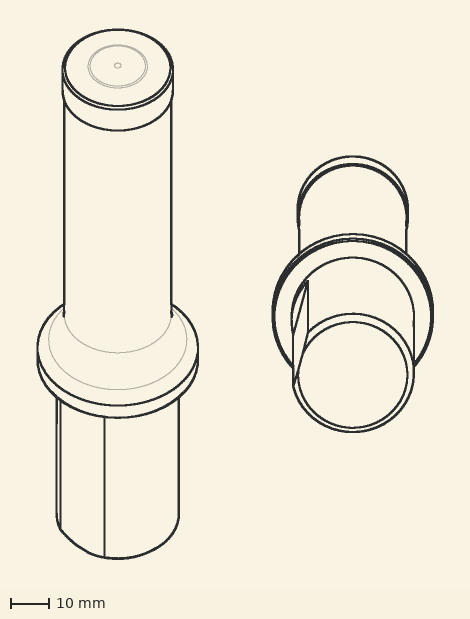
import cadquery as cq
import math

total_length = 172.0

shank_radius = 32.0 / 2
shank_chamfer_width = 1.7
shank_chamfer_height = 2.0
flat_distance = 14.1
flat_top = 55.4

collar_radius = 42.0 / 2
collar_bottom = 60.0
collar_chamfer = 0.5
collar_top = 65.2
flare_radius = 13.8
flare_angle = math.radians(45)

shaft_radius = 28.0 / 2

head_radius = 28.9 / 2
head_bottom = 162.5
head_chamfer = 0.7
head_edge_top = 171.1
apex_radius = 0.9
boss_top_radius = 7.2
boss_bottom_radius = 7.7
boss_top = 171.8
boss_bottom = 171.7


def flare_point(angle):
    """Point of the flare after turning by angle from the vertical shaft wall."""
    radius = shaft_radius + flare_radius * (1 - math.cos(angle))
    height = flare_top - flare_radius * math.sin(angle)
    return radius, height


cone_top_radius = shaft_radius + flare_radius * (1 - math.cos(flare_angle))
cone_top = collar_top + collar_radius - cone_top_radius
flare_top = cone_top + flare_radius * math.sin(flare_angle)


def make_holder():
    """Shank, collar, flare and shaft turned as one body, with the flat cut."""
    turned = (
        cq.Workplane("XZ")
        .moveTo(0, 0)
        .lineTo(shank_radius - shank_chamfer_width, 0)
        .lineTo(shank_radius, shank_chamfer_height)
        .lineTo(shank_radius, collar_bottom)
        .lineTo(collar_radius - collar_chamfer, collar_bottom)
        .lineTo(collar_radius, collar_bottom + collar_chamfer)
        .lineTo(collar_radius, collar_top)
        .lineTo(cone_top_radius, cone_top)
        .threePointArc(flare_point(flare_angle / 2), (shaft_radius, flare_top))
        .lineTo(shaft_radius, head_bottom)
        .lineTo(0, head_bottom)
        .close()
        .revolve(360, (0, 0, 0), (0, 1, 0))
    )
    flat_cutter = cq.Workplane("XY").box(
        2 * shank_radius, shank_radius, flat_top, centered=(True, False, False)
    ).translate((0, -flat_distance - shank_radius, 0))
    return turned.cut(flat_cutter)


def make_head():
    """Round head seated on the end of the shaft."""
    return (
        cq.Workplane("XZ")
        .moveTo(0, head_bottom)
        .lineTo(head_radius, head_bottom)
        .lineTo(head_radius, head_edge_top - head_chamfer)
        .lineTo(head_radius - head_chamfer, head_edge_top)
        .lineTo(boss_bottom_radius, boss_bottom)
        .lineTo(boss_top_radius, boss_top)
        .lineTo(apex_radius, total_length)
        .lineTo(0, total_length)
        .close()
        .revolve(360, (0, 0, 0), (0, 1, 0))
    )


holder = make_holder()
head = make_head()

result = cq.Compound.makeCompound([holder.val(), head.val()])